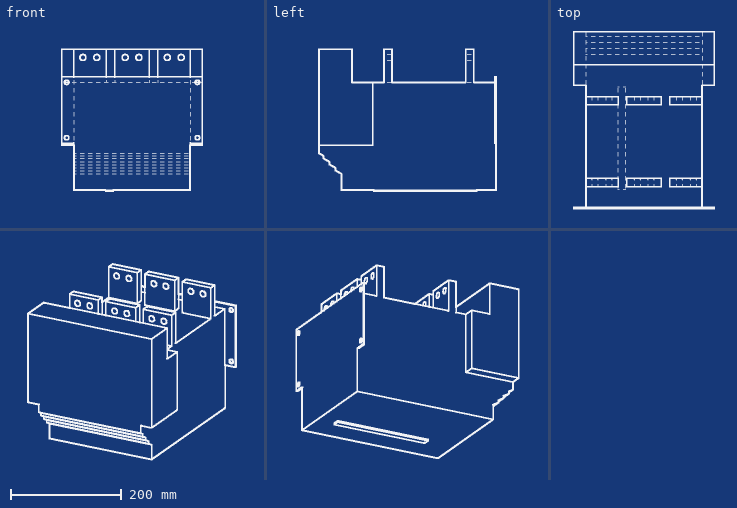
import cadquery as cq

LENGTH = 320.0
WIDE_WIDTH = 254.0
CORE_WIDTH = 210.0
HOUSING_HEIGHT = 254.5
TOTAL_HEIGHT = 257.0

RAISED_HEIGHT = 60.0
CORE_TOP = HOUSING_HEIGHT - RAISED_HEIGHT

REAR_BLOCK_DEPTH = 60.0
SHOULDER_DEPTH = 97.0
SHOULDER_BOTTOM = 81.0

TOOTH_TOP = 66.2
FIRST_SLOPE_RUN = 8.0
TOOTH_COUNT = 3
TOOTH_RISER = 4.8
TOOTH_SLOPE_RUN = 11.0
TOOTH_SLOPE_DROP = 6.0
FIRST_SLOPE_DROP = TOOTH_SLOPE_DROP * FIRST_SLOPE_RUN / TOOTH_SLOPE_RUN

PLATE_THICKNESS = 3.0
PLATE_TOP = 204.5
PLATE_HEIGHT = 120.0
PLATE_HOLE_DIAMETER = 8.0
PLATE_HOLE_SPACING_X = 236.0
PLATE_HOLE_SPACING_Z = 100.0
PLATE_HOLE_TOP_MARGIN = 10.0

FRONT_ROW_Y = 40.0
REAR_ROW_Y = 188.0
TERMINAL_THICKNESS = 15.0
MIDDLE_TERMINAL_WIDTH = 61.5
TERMINAL_GAP = 15.5
TERMINAL_HOLE_DIAMETER = 11.0
TERMINAL_HOLE_SPACING = 25.0
TERMINAL_HOLE_PITCH = 76.0
TERMINAL_HOLE_DROP = 15.0

STRIP_THICKNESS = TOTAL_HEIGHT - HOUSING_HEIGHT
STRIP_WIDTH = 13.5
STRIP_CENTRE_X = -41.0
STRIP_FRONT_Y = 35.2
STRIP_LENGTH = 185.5


def box_between(x_range, y_range, z_range):
    """Box spanning the given (low, high) ranges."""
    spans = [high - low for low, high in (x_range, y_range, z_range)]
    return cq.Workplane("XY").box(*spans, centered=False).translate((x_range[0], y_range[0], z_range[0]))


def centred(width):
    """Range of the given width about the middle plane."""
    return (-width / 2, width / 2)


def make_core():
    """Central block, its lower rear corner cut away in sawtooth steps."""
    outline = [(0, 0), (0, CORE_TOP), (LENGTH, CORE_TOP), (LENGTH, TOOTH_TOP)]
    y = LENGTH - FIRST_SLOPE_RUN
    z = TOOTH_TOP - FIRST_SLOPE_DROP
    outline.append((y, z))
    for _ in range(TOOTH_COUNT):
        z -= TOOTH_RISER
        outline.append((y, z))
        y -= TOOTH_SLOPE_RUN
        z -= TOOTH_SLOPE_DROP
        outline.append((y, z))
    outline.append((y, 0))
    return cq.Workplane("YZ").polyline(outline).close().extrude(CORE_WIDTH / 2, both=True)


def make_rear_block():
    """Full-width shoulders with the tall rear block standing on them."""
    shoulders = box_between(centred(WIDE_WIDTH), (LENGTH - SHOULDER_DEPTH, LENGTH), (SHOULDER_BOTTOM, CORE_TOP))
    block = box_between(
        centred(WIDE_WIDTH), (LENGTH - REAR_BLOCK_DEPTH, LENGTH), (SHOULDER_BOTTOM, HOUSING_HEIGHT)
    )
    return shoulders.union(block)


def make_front_plate():
    """Thin plate flush with the front face, a hole through each corner."""
    plate = box_between(centred(WIDE_WIDTH), (0, PLATE_THICKNESS), (PLATE_TOP - PLATE_HEIGHT, PLATE_TOP))
    holes_centre_z = PLATE_TOP - PLATE_HOLE_TOP_MARGIN - PLATE_HOLE_SPACING_Z / 2
    holes = (
        cq.Workplane("XZ", origin=(0, 0, holes_centre_z))
        .rarray(PLATE_HOLE_SPACING_X, PLATE_HOLE_SPACING_Z, 2, 2)
        .circle(PLATE_HOLE_DIAMETER / 2)
        .extrude(-PLATE_THICKNESS)
    )
    return plate.cut(holes)


def make_terminal_row(front_y):
    """Three upright terminals, the outer two flush with the core's sides, each with two holes."""
    y_range = (front_y, front_y + TERMINAL_THICKNESS)
    z_range = (CORE_TOP, HOUSING_HEIGHT)
    row = box_between(centred(CORE_WIDTH), y_range, z_range)
    gap_offset = (MIDDLE_TERMINAL_WIDTH + TERMINAL_GAP) / 2
    for gap_x in (-gap_offset, gap_offset):
        row = row.cut(box_between((gap_x - TERMINAL_GAP / 2, gap_x + TERMINAL_GAP / 2), y_range, z_range))
    for pair_x in (-TERMINAL_HOLE_PITCH, 0, TERMINAL_HOLE_PITCH):
        holes = (
            cq.Workplane("XZ", origin=(pair_x, front_y, HOUSING_HEIGHT - TERMINAL_HOLE_DROP))
            .rarray(TERMINAL_HOLE_SPACING, 3.2, 2, 1)
            .circle(TERMINAL_HOLE_DIAMETER / 2)
            .extrude(-TERMINAL_THICKNESS)
        )
        row = row.cut(holes)
    return row


def make_housing():
    """Core with the rear block, front plate and both terminal rows in one solid."""
    return (
        make_core()
        .union(make_rear_block())
        .union(make_front_plate())
        .union(make_terminal_row(FRONT_ROW_Y))
        .union(make_terminal_row(REAR_ROW_Y))
    )


def make_strip():
    """Flat strip lying against the housing underside."""
    return box_between(
        (STRIP_CENTRE_X - STRIP_WIDTH / 2, STRIP_CENTRE_X + STRIP_WIDTH / 2),
        (STRIP_FRONT_Y, STRIP_FRONT_Y + STRIP_LENGTH),
        (-STRIP_THICKNESS, 0),
    )


housing = make_housing()
strip = make_strip()

result = cq.Compound.makeCompound([housing.val(), strip.val()])